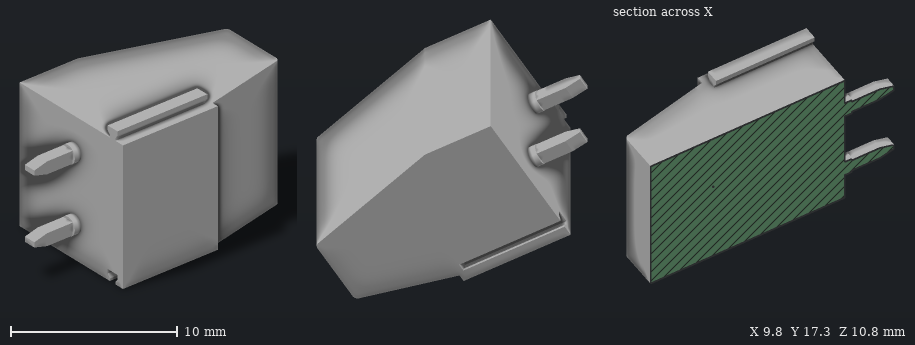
import cadquery as cq

width = 9.8
total_length = 17.3
pitch = 5.0
pole_count = 2
height = pole_count * pitch

pin_length = 3.5
pin_size = 0.9
pin_tip_thickness = 0.36
pin_taper_length = 1.0
pin_x = 5.19
collar_diameter = 1.3
collar_length = 0.5

depth = total_length - pin_length
left_wall_depth = 4.55
ledge_depth = 7.4
ledge_width = 0.5
top_left_x = 2.98
top_right_x = 7.82
top_corner_radius = 0.35

rail_length = 7.0
rail_center_x = width - 0.99
rail_head_width = 0.93
rail_neck_width = 0.52
rail_height = 0.75
rail_head_height = 0.31
rail_flare_height = 0.26


def make_housing():
    """Tapered block with a narrow ledge on its +X side."""
    profile = [
        (0, 0),
        (width, 0),
        (width, ledge_depth),
        (width - ledge_width, ledge_depth),
        (top_right_x, depth),
        (top_left_x, depth),
        (0, left_wall_depth),
    ]
    block = cq.Workplane("XY").polyline(profile).close().extrude(height)
    return block.faces(">Y").edges("|Z").fillet(top_corner_radius)


def make_rail(base_z):
    """Rail with a flared head, standing on base_z and running from the pin face toward +Y."""
    half_neck = rail_neck_width / 2
    half_head = rail_head_width / 2
    head_z = rail_height - rail_head_height
    neck_z = head_z - rail_flare_height
    profile = [
        (-half_neck, 0),
        (half_neck, 0),
        (half_neck, neck_z),
        (half_head, head_z),
        (half_head, rail_height),
        (-half_head, rail_height),
        (-half_head, head_z),
        (-half_neck, neck_z),
    ]
    rail = cq.Workplane("XZ").polyline(profile).close().extrude(-rail_length)
    return rail.translate((rail_center_x, 0, base_z))


def make_pin(center_z):
    """Square pin with a round collar, its tip tapered in Z only."""
    half_size = pin_size / 2
    half_tip = pin_tip_thickness / 2
    taper_start = pin_length - pin_taper_length
    profile = [
        (0, -half_size),
        (-taper_start, -half_size),
        (-pin_length, -half_tip),
        (-pin_length, half_tip),
        (-taper_start, half_size),
        (0, half_size),
    ]
    blade = cq.Workplane("YZ").polyline(profile).close().extrude(half_size, both=True)
    collar = cq.Workplane("XZ").circle(collar_diameter / 2).extrude(collar_length)
    return blade.union(collar).translate((pin_x, 0, center_z))


result = make_housing().union(make_rail(height)).cut(make_rail(0))
for pole in range(pole_count):
    result = result.union(make_pin((pole + 0.5) * pitch))